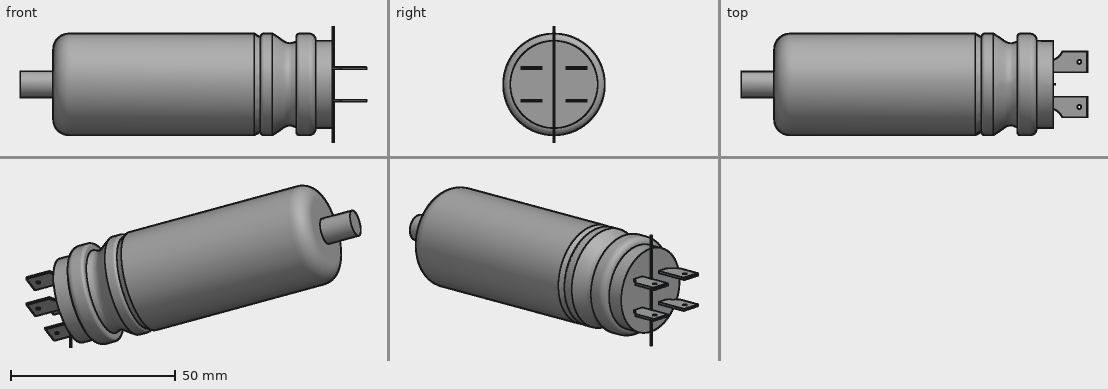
import cadquery as cq

overall_length = 105.5

stud_length = 10.0
stud_radius = 4.0

can_radius = 15.5
base_round = 5.0
bead_round = 1.0
groove_start = 71.2
groove_wall = 73.1
neck_start = 76.7
neck_bottom_x = 82.2
neck_bottom_radius = 12.6
neck_wall = 84.0
neck_wall_foot_radius = 13.1
rim_round = 2.2
rim_end = 90.0

lid_radius = can_radius - rim_round
lid_end = 95.0
bar_depth = 0.5
bar_thickness = 0.3
bar_length = 35.0

tab_thickness = 0.7
tab_center_z = 5.0
tab_inner_y = 3.7
tab_outer_y = 10.0
tab_root_outer_y = 7.5
tab_shoulder_x = 97.7
tab_root_hollow = 0.26
tab_tip_chamfer = 0.3
tab_hole_diameter = 1.2
tab_hole_x = 102.9
tab_hole_y = (tab_inner_y + tab_outer_y) / 2

ALONG = (1, 0)
SLOPING_IN = (2, -1)


def quarter_round(outline, center, radius, start_side, end_side):
    """Add a 90 degree arc about center, running from start_side to end_side (unit directions)."""
    diagonal = 0.5 ** 0.5
    middle = tuple(c + radius * diagonal * (s + e) for c, s, e in zip(center, start_side, end_side))
    end = tuple(c + radius * e for c, e in zip(center, end_side))
    return outline.threePointArc(middle, end)


def turned_body():
    """Stud, can, groove, neck, rim and lid as one revolved profile (x, radius)."""
    back, front, outward = (-1, 0), (1, 0), (0, 1)
    bead_root_radius = can_radius - bead_round

    outline = cq.Workplane("XZ").lineTo(0, stud_radius).lineTo(stud_length, stud_radius)

    outline = outline.lineTo(stud_length, can_radius - base_round)
    base_center = (stud_length + base_round, can_radius - base_round)
    outline = quarter_round(outline, base_center, base_round, back, outward)
    outline = outline.lineTo(groove_start, can_radius)

    outline = outline.spline(
        [(groove_wall, bead_root_radius)],
        tangents=[SLOPING_IN, ALONG],
        includeCurrent=True,
    )
    outline = quarter_round(outline, (groove_wall + bead_round, bead_root_radius), bead_round, back, outward)
    outline = outline.lineTo(neck_start, can_radius)

    neck_rise = (neck_wall - neck_bottom_x, neck_wall_foot_radius - neck_bottom_radius)
    outline = outline.spline(
        [(neck_bottom_x, neck_bottom_radius), (neck_wall, neck_wall_foot_radius)],
        tangents=[SLOPING_IN, ALONG, neck_rise],
        includeCurrent=True,
    )
    outline = outline.lineTo(neck_wall, bead_root_radius)

    outline = quarter_round(outline, (neck_wall + bead_round, bead_root_radius), bead_round, back, outward)
    outline = outline.lineTo(rim_end - rim_round, can_radius)
    outline = quarter_round(outline, (rim_end - rim_round, lid_radius), rim_round, outward, front)

    outline = outline.lineTo(lid_end, lid_radius).lineTo(lid_end, 0).close()
    return outline.revolve(360, (0, 0, 0), (1, 0, 0))


def divider_bar():
    """Thin upright bar on the lid face, reaching past the lid at both ends."""
    bar = cq.Workplane("XY").box(bar_depth, bar_thickness, bar_length)
    return bar.translate((lid_end + bar_depth / 2, 0, 0))


def terminal():
    """Flat tab at +Y, +Z: curved root on its outer side, one hole, beveled tip."""
    root_middle = (
        (lid_end + tab_shoulder_x) / 2 + tab_root_hollow,
        (tab_root_outer_y + tab_outer_y) / 2 - tab_root_hollow,
    )
    tab = (
        cq.Workplane("XY", origin=(0, 0, tab_center_z - tab_thickness / 2))
        .moveTo(lid_end, tab_inner_y)
        .lineTo(lid_end, tab_root_outer_y)
        .threePointArc(root_middle, (tab_shoulder_x, tab_outer_y))
        .lineTo(overall_length, tab_outer_y)
        .lineTo(overall_length, tab_inner_y)
        .close()
        .extrude(tab_thickness)
    )
    tab = tab.faces(">X").edges(">Z").chamfer(tab_tip_chamfer)
    hole = (
        cq.Workplane("XY")
        .center(tab_hole_x, tab_hole_y)
        .circle(tab_hole_diameter / 2)
        .extrude(tab_center_z + tab_thickness)
    )
    return tab.cut(hole)


one_tab = terminal()
upper_pair = one_tab.union(one_tab.mirror("XZ"))
terminals = upper_pair.union(upper_pair.mirror("XY"))

result = turned_body().union(divider_bar()).union(terminals)